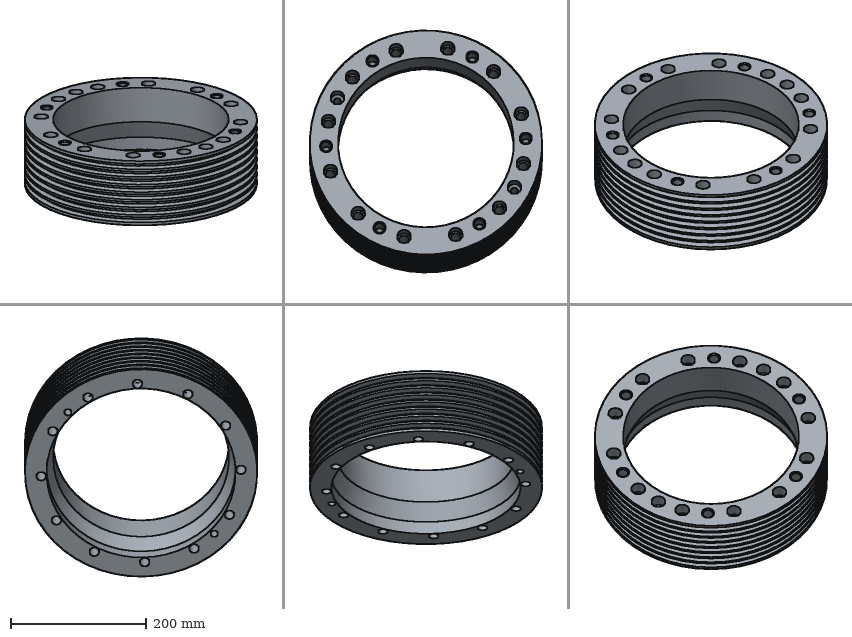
import cadquery as cq
import math

outer_radius = 172.0
height = 102.0

upper_bore_radius = 130.0
lower_bore_radius = 140.0
upper_bore_depth = 54.0
cone_end_depth = 82.2

groove_count = 8
groove_pitch = 12.0
groove_depth = 10.0
groove_width = 5.5

shallow_bevel_length = 3.0
shallow_bevel_rise = 0.75
steep_bevel_length = 1.7
steep_bevel_rise = 0.7

hole_circle_radius = 148.0
drill_point_angle = 118.0

bolt_hole_diameter = 14.0
counterbore_diameter = 20.3
counterbore_depth = 20.0

pin_hole_diameter = 10.5
pin_pocket_diameter = counterbore_diameter
pin_pocket_depth = counterbore_depth

tapped_hole_diameter = 14.5
tapped_hole_depth = 30.0
tapped_mouth_diameter = 18.2
tapped_mouth_depth = 1.7

bolt_angles = range(15, 360, 30)
pin_angles = (0, 180)
tapped_angles = range(30, 360, 60)


def revolve_about_z(points):
    """Spin a closed outline of (radius, z) points around the Z axis."""
    return cq.Workplane("XZ").polyline(points).close().revolve(360, (0, 0), (0, 1))


def groove_upper_wall():
    """Upper half of a groove from floor to rim, as (radius, offset from its centre) points."""
    half_width = groove_width / 2
    bevel_middle_radius = outer_radius - steep_bevel_length
    bevel_middle_offset = half_width + shallow_bevel_rise
    return [
        (outer_radius - groove_depth, half_width),
        (bevel_middle_radius - shallow_bevel_length, half_width),
        (bevel_middle_radius, bevel_middle_offset),
        (outer_radius, bevel_middle_offset + steep_bevel_rise),
    ]


def ring_body():
    """Ring with its stepped bore and its outer grooves, as one turned outline."""
    outline = [
        (upper_bore_radius, height),
        (upper_bore_radius, height - upper_bore_depth),
        (lower_bore_radius, height - cone_end_depth),
        (lower_bore_radius, 0),
        (outer_radius, 0),
    ]
    for index in range(groove_count):
        centre = height / 2 + (index - (groove_count - 1) / 2) * groove_pitch
        upper_wall = groove_upper_wall()
        outline += [(radius, centre - offset) for radius, offset in reversed(upper_wall)]
        outline += [(radius, centre + offset) for radius, offset in upper_wall]
    outline.append((outer_radius, height))
    return revolve_about_z(outline)


def drill_point_length(diameter):
    """Length of the cone left by a drill of this diameter."""
    return diameter / 2 / math.tan(math.radians(drill_point_angle / 2))


def bolt_cutter():
    """Through hole with a flat counterbore; the top face is at Z = 0."""
    shank = cq.Workplane("XY").circle(bolt_hole_diameter / 2).extrude(-height)
    head = cq.Workplane("XY").circle(counterbore_diameter / 2).extrude(-counterbore_depth)
    return shank.union(head)


def pin_cutter():
    """Through hole below a pocket with a conical bottom; the top face is at Z = 0."""
    pocket_radius = pin_pocket_diameter / 2
    hole_radius = pin_hole_diameter / 2
    cone = drill_point_length(pin_pocket_diameter) - drill_point_length(pin_hole_diameter)
    return revolve_about_z([
        (0, 0),
        (pocket_radius, 0),
        (pocket_radius, -pin_pocket_depth),
        (hole_radius, -pin_pocket_depth - cone),
        (hole_radius, -height),
        (0, -height),
    ])


def tapped_cutter():
    """Blind hole with a drill point and a wider mouth; the top face is at Z = 0."""
    mouth_radius = tapped_mouth_diameter / 2
    hole_radius = tapped_hole_diameter / 2
    return revolve_about_z([
        (0, 0),
        (mouth_radius, 0),
        (hole_radius, -tapped_mouth_depth),
        (hole_radius, -tapped_hole_depth),
        (0, -tapped_hole_depth - drill_point_length(tapped_hole_diameter)),
    ])


def cut_on_hole_circle(body, cutter, angles):
    """Cut one copy of the cutter into the top face at each angle."""
    placed = cutter.translate((hole_circle_radius, 0, height))
    for angle in angles:
        body = body.cut(placed.rotate((0, 0, 0), (0, 0, 1), angle))
    return body


result = ring_body()
result = cut_on_hole_circle(result, bolt_cutter(), bolt_angles)
result = cut_on_hole_circle(result, pin_cutter(), pin_angles)
result = cut_on_hole_circle(result, tapped_cutter(), tapped_angles)